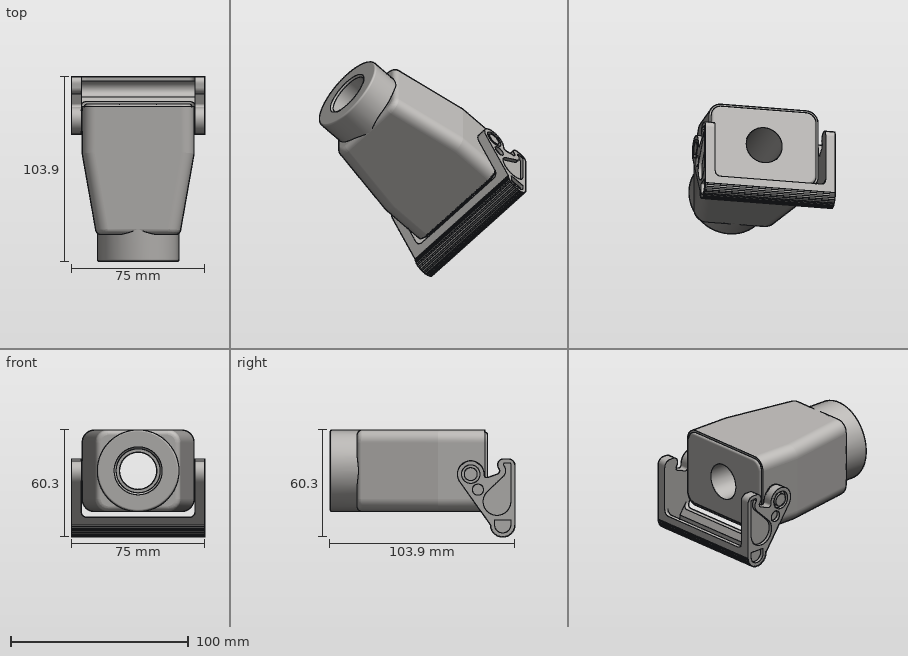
import cadquery as cq
import math


total_length = 103.9
total_height = 60.3
hood_half_height = 23.0
hood_half_width = 31.5
hood_front_y = 15.1
taper_start_y = 60.6
taper_angle = 10.0
hood_back_y = 87.0
hood_corner_radius = 7.1
front_edge_radius = 3.0

lip_inset = 1.2
lip_length = 1.5
lip_edge_radius = lip_length

entry_radius = hood_half_height
entry_edge_radius = 1.0
entry_bore_radius = 12.4
entry_bore_depth = hood_front_y
entry_bore_chamfer = 1.1
through_bore_radius = 10.4

lever_half_width = 37.5
arm_inner_x = 31.9
lever_wall = 2.4
pocket_depth = 2.1

tail_radius = 7.0
tail_center = (total_length - tail_radius, hood_half_height - total_height + tail_radius)
pivot_center = (79.0, -1.9)
pivot_boss_radius = 7.5
tip_top_z = 6.8
tip_back_radius = 4.0
tip_front_radius = 3.4
tip_flat = 2.5
notch_radius = 2.0
notch_direction = 217.6
ramp_angle = 19.0
valley_radius = 1.6

window_bottom_z = -26.1
window_corner_radius = 3.0

grip_groove_count = 11
grip_groove_pitch = 16.9
grip_groove_span = 7.5
grip_groove_depth = 0.16

pocket_neck_center = (94.0, 0.1)
pocket_neck_radius = 4.6
pocket_bulb_radius = 7.8
pocket_bulb_z = -17.2
pocket_top_width = 4.1
pocket_top_corner_radius = 0.6
tail_pocket_top_z = -27.5
tail_pocket_corner_radius = 0.4
pin_radius = 3.6
pin_groove_radius = 5.2
dimple_center = (83.0, -10.6)
dimple_radius = 3.1

pad_center = (pivot_center[0], 0.0)
pad_radius = 5.7

overlap = 1.0


def on_circle(center, radius, degrees):
    """Point on a circle at the given angle."""
    angle = math.radians(degrees)
    return (center[0] + radius * math.cos(angle), center[1] + radius * math.sin(angle))


def normal_angle(start, end, offset):
    """Angle of the unit normal along which end lies the given offset beyond start."""
    dy = end[0] - start[0]
    dz = end[1] - start[1]
    return math.degrees(math.atan2(dz, dy) + math.acos(offset / math.hypot(dy, dz)))


def extrude_along_x(sketch, x_start, x_end):
    """Solid between two X planes from a closed Y-Z outline."""
    return sketch.extrude(x_end - x_start).translate((x_start, 0, 0))


def cylinder_along_x(center, radius, x_start, x_end):
    return extrude_along_x(cq.Workplane("YZ").center(*center).circle(radius), x_start, x_end)


def make_hood():
    front_half_width = hood_half_width - (taper_start_y - hood_front_y) * math.tan(math.radians(taper_angle))
    hood = (
        cq.Workplane("XY")
        .workplane(offset=-hood_half_height)
        .moveTo(-hood_half_width, hood_back_y)
        .lineTo(-hood_half_width, taper_start_y)
        .lineTo(-front_half_width, hood_front_y)
        .lineTo(front_half_width, hood_front_y)
        .lineTo(hood_half_width, taper_start_y)
        .lineTo(hood_half_width, hood_back_y)
        .close()
        .extrude(2 * hood_half_height)
    )
    hood = hood.faces("|Z").edges("not |X").fillet(hood_corner_radius)
    hood = hood.faces("<Y").edges().fillet(front_edge_radius)

    lip = (
        cq.Workplane("XZ")
        .rect(2 * (hood_half_width - lip_inset), 2 * (hood_half_height - lip_inset))
        .extrude(-(lip_length + overlap))
        .translate((0, hood_back_y - overlap, 0))
        .edges("|Y")
        .fillet(hood_corner_radius - lip_inset)
        .faces(">Y")
        .edges()
        .fillet(lip_edge_radius)
    )
    return hood.union(lip)


def make_entry():
    """Round cable entry, running back to where the front edge rounding begins."""
    return (
        cq.Workplane("XZ")
        .circle(entry_radius)
        .extrude(-(hood_front_y + front_edge_radius))
        .faces("<Y")
        .edges()
        .fillet(entry_edge_radius)
    )


def make_bores():
    through_bore = cq.Workplane("XZ").circle(through_bore_radius).extrude(-total_length)
    entry_bore = cq.Workplane("XZ").circle(entry_bore_radius).extrude(-entry_bore_depth)
    mouth = cq.Workplane(
        cq.Solid.makeCone(
            entry_bore_radius + entry_bore_chamfer,
            entry_bore_radius,
            entry_bore_chamfer,
            cq.Vector(0, 0, 0),
            cq.Vector(0, 1, 0),
        )
    )
    return through_bore.union(entry_bore).union(mouth)


underside_start = (tail_center[0] - tail_radius, tail_center[1])
underside_normal = normal_angle(underside_start, pivot_center, -pivot_boss_radius)
underside_end = on_circle(pivot_center, pivot_boss_radius, underside_normal)


def make_lever_blank():
    back_tip = (total_length - tip_back_radius, tip_top_z - tip_back_radius)
    front_tip = (back_tip[0] - tip_flat, tip_top_z - tip_front_radius)
    notch_center = on_circle(front_tip, tip_front_radius + notch_radius, notch_direction)
    ramp_normal = 90.0 + ramp_angle
    ramp_start = on_circle(notch_center, -notch_radius, ramp_normal)

    ramp_height = (
        (ramp_start[0] - pivot_center[0]) * math.cos(math.radians(ramp_normal))
        + (ramp_start[1] - pivot_center[1]) * math.sin(math.radians(ramp_normal))
    )
    ramp_end_angle = ramp_normal - math.degrees(math.acos(ramp_height / pivot_boss_radius))
    valley = on_circle(pivot_center, pivot_boss_radius, ramp_end_angle)
    boss_far_angle = (ramp_end_angle + underside_normal) / 2

    outline = (
        cq.Workplane("YZ")
        .moveTo(total_length, tail_center[1])
        .lineTo(total_length, back_tip[1])
        .threePointArc(on_circle(back_tip, tip_back_radius, 45.0), on_circle(back_tip, tip_back_radius, 90.0))
        .lineTo(*on_circle(front_tip, tip_front_radius, 90.0))
        .threePointArc(
            on_circle(front_tip, tip_front_radius, (90.0 + notch_direction) / 2),
            on_circle(front_tip, tip_front_radius, notch_direction),
        )
        .threePointArc(
            on_circle(notch_center, notch_radius, (notch_direction + ramp_normal) / 2 - 180.0),
            ramp_start,
        )
        .lineTo(*valley)
        .threePointArc(on_circle(pivot_center, pivot_boss_radius, boss_far_angle), underside_end)
        .lineTo(*underside_start)
        .threePointArc(on_circle(tail_center, tail_radius, -90.0), (total_length, tail_center[1]))
        .close()
    )
    blank = extrude_along_x(outline, -lever_half_width, lever_half_width)
    return blank.edges(cq.NearestToPointSelector((0, *valley))).fillet(valley_radius)


def make_window():
    """Opening between the arms, above the cross bar."""
    height = hood_half_height - window_bottom_z
    return (
        cq.Workplane("XZ")
        .center(0, window_bottom_z + height / 2)
        .rect(2 * arm_inner_x, height)
        .extrude(-2 * total_length)
        .edges("|Y and <Z")
        .fillet(window_corner_radius)
    )


def make_channel():
    """Trough in the cross bar that leaves an even wall around the tail."""
    radius = tail_radius - lever_wall
    top_z = window_bottom_z + window_corner_radius
    inner_start = on_circle(underside_start, -lever_wall, underside_normal)
    rise = (underside_end[1] - underside_start[1]) / (underside_end[0] - underside_start[0])
    front_y = tail_center[0] - radius
    trough = (
        cq.Workplane("YZ")
        .moveTo(tail_center[0] + radius, top_z)
        .lineTo(tail_center[0] + radius, tail_center[1])
        .threePointArc(on_circle(tail_center, radius, -90.0), (front_y, tail_center[1]))
        .lineTo(front_y, inner_start[1] + rise * (front_y - inner_start[0]))
        .lineTo(inner_start[0] + (top_z - inner_start[1]) / rise, top_z)
        .close()
    )
    return extrude_along_x(trough, -arm_inner_x, arm_inner_x)


def make_grip_grooves():
    """Shallow grooves along the cross bar, spread evenly around the rounded tail."""
    floor_radius = tail_radius - grip_groove_depth
    open_radius = tail_radius + overlap
    first_angle = -90.0 - grip_groove_pitch * (grip_groove_count - 1) / 2
    grooves = cq.Workplane("YZ")
    for index in range(grip_groove_count):
        middle = first_angle + index * grip_groove_pitch
        start = middle - grip_groove_span / 2
        end = middle + grip_groove_span / 2
        grooves = (
            grooves.moveTo(*on_circle(tail_center, floor_radius, start))
            .threePointArc(
                on_circle(tail_center, floor_radius, middle),
                on_circle(tail_center, floor_radius, end),
            )
            .lineTo(*on_circle(tail_center, open_radius, end))
            .lineTo(*on_circle(tail_center, open_radius, start))
            .close()
        )
    return extrude_along_x(grooves, -lever_half_width, lever_half_width)


def make_pockets():
    """Recesses in the outer face of the arm on the -X side."""
    floor_x = -lever_half_width + pocket_depth
    open_x = -lever_half_width - overlap

    back_y = total_length - lever_wall
    top_z = tip_top_z - lever_wall
    bulb_center = (back_y - pocket_bulb_radius, pocket_bulb_z)
    top_front_y = back_y - pocket_top_width
    neck_start_angle = math.degrees(math.acos((top_front_y - pocket_neck_center[0]) / pocket_neck_radius))
    flank_normal = normal_angle(pocket_neck_center, bulb_center, pocket_neck_radius + pocket_bulb_radius)
    drop = (
        cq.Workplane("YZ")
        .moveTo(back_y, pocket_bulb_z)
        .lineTo(back_y, top_z)
        .lineTo(top_front_y, top_z)
        .lineTo(*on_circle(pocket_neck_center, pocket_neck_radius, neck_start_angle))
        .threePointArc(
            on_circle(pocket_neck_center, pocket_neck_radius, (neck_start_angle + flank_normal) / 2),
            on_circle(pocket_neck_center, pocket_neck_radius, flank_normal),
        )
        .lineTo(*on_circle(bulb_center, -pocket_bulb_radius, flank_normal))
        .threePointArc(on_circle(bulb_center, pocket_bulb_radius, -90.0), (back_y, pocket_bulb_z))
        .close()
    )
    drop = extrude_along_x(drop, open_x, floor_x)
    drop = drop.faces(">Z").edges("|X").fillet(pocket_top_corner_radius)

    radius = tail_radius - lever_wall
    tail_pocket = (
        cq.Workplane("YZ")
        .moveTo(tail_center[0] + radius, tail_center[1])
        .lineTo(tail_center[0] + radius, tail_pocket_top_z)
        .lineTo(tail_center[0] - radius, tail_pocket_top_z)
        .lineTo(tail_center[0] - radius, tail_center[1])
        .threePointArc(on_circle(tail_center, radius, -90.0), (tail_center[0] + radius, tail_center[1]))
        .close()
    )
    tail_pocket = extrude_along_x(tail_pocket, open_x, floor_x)
    tail_pocket = tail_pocket.faces(">Z").edges("|X").fillet(tail_pocket_corner_radius)

    pin = cylinder_along_x(pivot_center, pin_radius, open_x, floor_x)
    groove = cylinder_along_x(pivot_center, pin_groove_radius, open_x, floor_x).cut(pin)
    dimple = cylinder_along_x(dimple_center, dimple_radius, open_x, floor_x)
    return [drop, tail_pocket, groove, dimple]


def make_lever():
    lever = make_lever_blank().cut(make_window()).cut(make_channel()).cut(make_grip_grooves())
    for pocket in make_pockets():
        lever = lever.cut(pocket).cut(pocket.mirror("YZ"))
    return lever


def make_pad():
    return cylinder_along_x(pad_center, pad_radius, -arm_inner_x, -hood_half_width + overlap)


pad = make_pad()
body = make_hood().union(make_entry()).union(pad).union(pad.mirror("YZ")).cut(make_bores())
result = body.union(make_lever())